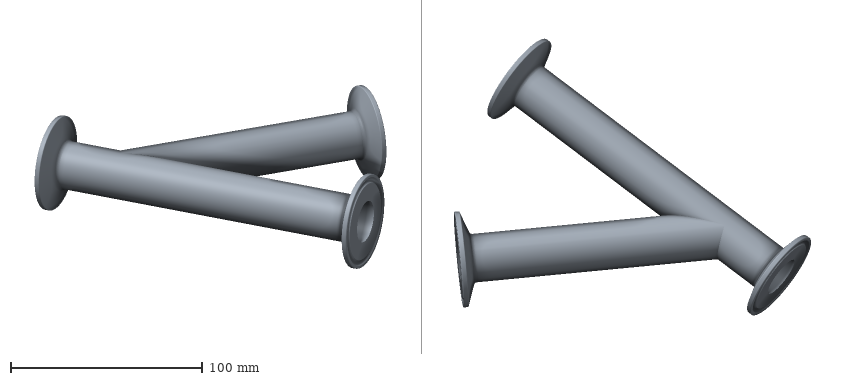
import cadquery as cq
import math

run_length = 177.8
branch_length = 139.8
branch_angle = 45.0
junction_offset = 38.0
tube_diameter = 25.5
bore_diameter = 22.0

flange_diameter = 50.3
rim_thickness = 2.7
cone_angle = 20.0
rim_fillet = 0.5
neck_fillet = 1.8
ferrule_length = 12.3

groove_inner_radius = 20.6
groove_outer_radius = 23.5
groove_depth = 1.0
groove_lip_fillet = 0.4

tube_radius = tube_diameter / 2
bore_radius = bore_diameter / 2
flange_radius = flange_diameter / 2
groove_middle_radius = (groove_inner_radius + groove_outer_radius) / 2
cone_height = (flange_radius - tube_radius) * math.tan(math.radians(cone_angle))
junction_x = junction_offset - run_length / 2


def make_ferrule():
    """Solid ferrule with its face at Z = 0 and its neck running toward -Z."""
    body = (
        cq.Workplane("XZ")
        .lineTo(groove_inner_radius, 0)
        .threePointArc((groove_middle_radius, -groove_depth), (groove_outer_radius, 0))
        .lineTo(flange_radius, 0)
        .lineTo(flange_radius, -rim_thickness)
        .lineTo(tube_radius, -rim_thickness - cone_height)
        .lineTo(tube_radius, -ferrule_length)
        .lineTo(0, -ferrule_length)
        .close()
        .revolve(360, (0, 0, 0), (0, 1, 0))
    )
    body = body.faces("%TORUS").edges("%CIRCLE").fillet(groove_lip_fillet)
    body = body.faces("%CONE").edges("<Z").fillet(neck_fillet)
    return body.edges(cq.selectors.RadiusNthSelector(-1)).fillet(rim_fillet)


def make_end(length, plane):
    """Solid tube from the plane origin along its normal, closed by a ferrule."""
    tube = cq.Workplane("XY").circle(tube_radius).extrude(length - ferrule_length)
    end = tube.union(make_ferrule().translate((0, 0, length)))
    return cq.Workplane(end.val().moved(cq.Location(plane)))


def make_bore(length, plane):
    """Cylinder that opens the tube from the plane origin out to its face."""
    return cq.Workplane(plane).circle(bore_radius).extrude(length)


junction = (junction_x, 0, 0)
branch_direction = (math.cos(math.radians(branch_angle)), math.sin(math.radians(branch_angle)), 0)
ends = [
    (junction_offset, cq.Plane(junction, (0, 0, 1), (-1, 0, 0))),
    (run_length - junction_offset, cq.Plane(junction, (0, 0, 1), (1, 0, 0))),
    (branch_length, cq.Plane(junction, (0, 0, 1), branch_direction)),
]

result = cq.Workplane("XY")
for length, plane in ends:
    result = result.union(make_end(length, plane))
for length, plane in ends:
    result = result.cut(make_bore(length, plane))